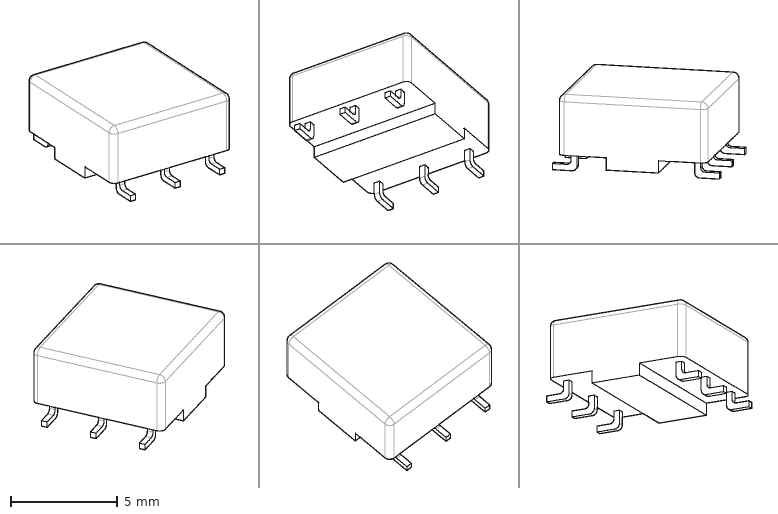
import cadquery as cq

span_x = 8.1
height = 3.8

body_x = 7.2
body_y = 6.8
body_height = 2.9
edge_radius = 0.3
rail_width = 2.53

lead_thickness = 0.3
lead_width = 0.3
lead_length = 1.2
lead_pitch = 2.54
inner_bend_radius = 0.2
outer_bend_radius = 0.25
leads_per_side = 3

body_bottom = height - body_height
rail_height = body_bottom - lead_thickness


def make_housing():
    """Rounded block with a central rail running the full depth underneath."""
    block = (
        cq.Workplane("XY", origin=(0, 0, body_bottom))
        .rect(body_x, body_y)
        .extrude(body_height)
        .edges("|Z or >Z")
        .fillet(edge_radius)
    )
    rail = (
        cq.Workplane("XY", origin=(0, 0, lead_thickness))
        .rect(rail_width, body_y)
        .extrude(rail_height)
    )
    return block.union(rail)


def make_right_lead(y):
    """L-shaped lead on the +X side, centred at y, ending on the housing underside."""
    tip_x = span_x / 2
    heel_x = tip_x - lead_length
    inner_x = heel_x + lead_thickness
    lead = (
        cq.Workplane("XZ", origin=(0, y + lead_width / 2, 0))
        .moveTo(tip_x, 0)
        .lineTo(heel_x, 0)
        .lineTo(heel_x, body_bottom)
        .lineTo(inner_x, body_bottom)
        .lineTo(inner_x, lead_thickness)
        .lineTo(tip_x, lead_thickness)
        .close()
        .extrude(lead_width)
    )
    outer_corner = cq.selectors.NearestToPointSelector((heel_x, y, 0))
    inner_corner = cq.selectors.NearestToPointSelector((inner_x, y, lead_thickness))
    lead = lead.edges(outer_corner).fillet(outer_bend_radius)
    return lead.edges(inner_corner).fillet(inner_bend_radius)


housing = make_housing()

leads = []
for index in range(leads_per_side):
    lead_y = (index - (leads_per_side - 1) / 2) * lead_pitch
    right_lead = make_right_lead(lead_y)
    leads.append(right_lead.val())
    leads.append(right_lead.mirror("YZ").val())

result = cq.Compound.makeCompound([housing.val(), *leads])